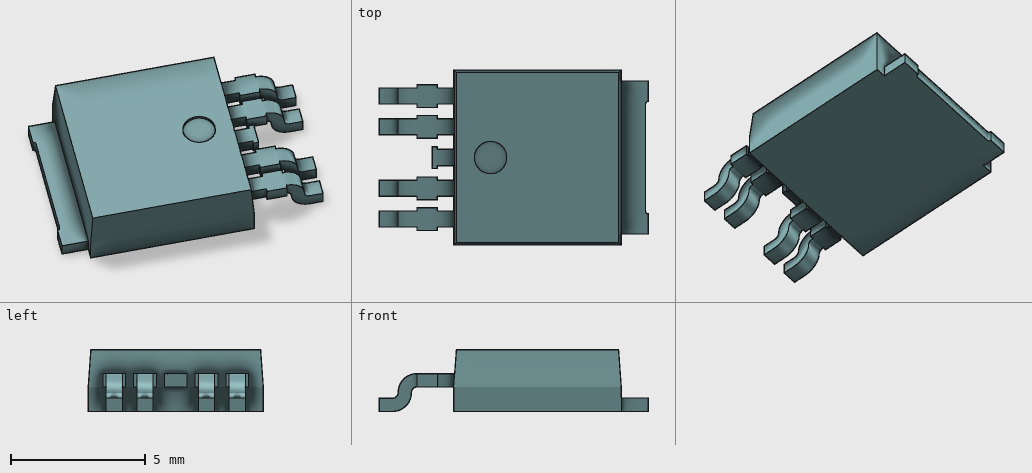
import cadquery as cq

BODY_LENGTH = 6.22
BODY_WIDTH = 6.5
BODY_HEIGHT = 2.3
PARTING_HEIGHT = 0.91
TOP_INSET = 0.1

DIMPLE_DIAMETER = 1.2
DIMPLE_DEPTH = 0.1
DIMPLE_FROM_LEAD_SIDE = 1.37

TAB_LENGTH = 1.0
TAB_WIDTH = 5.68
TAB_THICKNESS = 0.51
TAB_NOTCH_DEPTH = 0.1
TAB_NOTCH_WIDTH = 4.16
TAB_NOTCH_RADIUS = 0.09

LEAD_REACH = 2.76
LEAD_WIDTH = 0.6
LEAD_THICKNESS = 0.5
LEAD_PITCH = 1.14
FORMED_LEAD_POSITIONS = (-2, -1, 1, 2)
BEND_INNER_RADIUS = 0.2

DAM_BAR_WIDTH = 0.85
DAM_BAR_LENGTH = 0.76
DAM_BAR_GAP = 0.6

CENTRE_LEAD_REACH = 0.8
CENTRE_LEAD_WIDTH = 0.62
CENTRE_DAM_BAR_WIDTH = 0.82

LEAD_SIDE_X = -BODY_LENGTH / 2
TAB_SIDE_X = BODY_LENGTH / 2
LEAD_TOP = PARTING_HEIGHT + LEAD_THICKNESS
LEAD_ROOT_X = LEAD_SIDE_X + TOP_INSET
DAM_BAR_INNER_X = LEAD_SIDE_X - DAM_BAR_GAP


def box(x_start, x_end, y_centre, width, z_start, z_end):
    """Axis-aligned block, centred across its width."""
    block = cq.Workplane("XY").box(x_end - x_start, width, z_end - z_start, centered=(False, True, False))
    return block.translate((x_start, y_centre, z_start))


def make_body():
    lower = box(LEAD_SIDE_X, TAB_SIDE_X, 0, BODY_WIDTH, 0, PARTING_HEIGHT)
    upper = (
        cq.Workplane("XY")
        .workplane(offset=PARTING_HEIGHT)
        .rect(BODY_LENGTH, BODY_WIDTH)
        .workplane(offset=BODY_HEIGHT - PARTING_HEIGHT)
        .rect(BODY_LENGTH - 2 * TOP_INSET, BODY_WIDTH - 2 * TOP_INSET)
        .loft(ruled=True)
    )
    dimple = (
        cq.Workplane("XY")
        .workplane(offset=BODY_HEIGHT - DIMPLE_DEPTH)
        .center(LEAD_SIDE_X + DIMPLE_FROM_LEAD_SIDE, 0)
        .circle(DIMPLE_DIAMETER / 2)
        .extrude(DIMPLE_DEPTH)
    )
    return lower.union(upper).cut(dimple)


def make_tab():
    end_x = TAB_SIDE_X + TAB_LENGTH
    tab = box(TAB_SIDE_X, end_x, 0, TAB_WIDTH, 0, TAB_THICKNESS)
    notch = box(end_x - TAB_NOTCH_DEPTH, end_x, 0, TAB_NOTCH_WIDTH, 0, TAB_THICKNESS)
    notch = notch.edges("|Z and <X").fillet(TAB_NOTCH_RADIUS)
    return tab.cut(notch)


def make_formed_lead(y_centre):
    """Gull-wing lead: straight shank, two opposite quarter bends and a flat foot."""
    inner = BEND_INNER_RADIUS
    outer = BEND_INNER_RADIUS + LEAD_THICKNESS
    tip_x = LEAD_SIDE_X - LEAD_REACH
    shank_x = DAM_BAR_INNER_X - DAM_BAR_LENGTH
    riser_outer_x = shank_x - outer
    riser_inner_x = shank_x - inner
    foot_x = riser_outer_x - inner
    foot_top = LEAD_THICKNESS
    lead = (
        cq.Workplane("XZ")
        .moveTo(tip_x, 0)
        .lineTo(foot_x, 0)
        .radiusArc((riser_inner_x, outer), -outer)
        .lineTo(riser_inner_x, PARTING_HEIGHT - inner)
        .radiusArc((shank_x, PARTING_HEIGHT), inner)
        .lineTo(LEAD_ROOT_X, PARTING_HEIGHT)
        .lineTo(LEAD_ROOT_X, LEAD_TOP)
        .lineTo(shank_x, LEAD_TOP)
        .radiusArc((riser_outer_x, LEAD_TOP - outer), -outer)
        .lineTo(riser_outer_x, foot_top + inner)
        .radiusArc((foot_x, foot_top), inner)
        .lineTo(tip_x, foot_top)
        .close()
        .extrude(LEAD_WIDTH / 2, both=True)
        .translate((0, y_centre, 0))
    )
    dam_bar = box(shank_x, DAM_BAR_INNER_X, y_centre, DAM_BAR_WIDTH, PARTING_HEIGHT, LEAD_TOP)
    return lead.union(dam_bar)


def make_centre_lead():
    end_x = LEAD_SIDE_X - CENTRE_LEAD_REACH
    shank = box(end_x, LEAD_ROOT_X, 0, CENTRE_LEAD_WIDTH, PARTING_HEIGHT, LEAD_TOP)
    dam_bar = box(end_x, DAM_BAR_INNER_X, 0, CENTRE_DAM_BAR_WIDTH, PARTING_HEIGHT, LEAD_TOP)
    return shank.union(dam_bar)


result = make_body().union(make_tab()).union(make_centre_lead())
for position in FORMED_LEAD_POSITIONS:
    result = result.union(make_formed_lead(position * LEAD_PITCH))